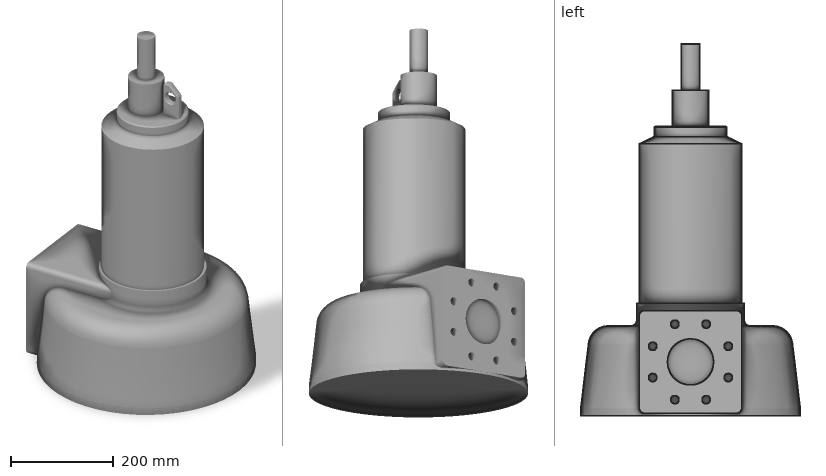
import cadquery as cq
import math

BELL_RADIUS = 214.0
RIM_HEIGHT = 15.0
BELL_HEIGHT = 175.5
BELL_TOP_RADIUS = 195.0
BELL_FILLET = 40.0

MOTOR_X = 14.5
MOTOR_RADIUS = 100.0
COLLAR_RADIUS = 105.0
COLLAR_TOP = 220.0
COLLAR_FILLET = 10.0

BOX_SIZE = 2 * MOTOR_RADIUS
BOX_BOTTOM = 5.0
BOX_FACE_X = -BELL_RADIUS
BOX_FILLET = 10.0
PORT_Z = BOX_BOTTOM + BOX_SIZE / 2
PORT_RADIUS = 45.0
PORT_DEPTH = 10.0
BOLT_COUNT = 8
BOLT_CIRCLE_RADIUS = 80.0
BOLT_HOLE_RADIUS = 8.0
BOLT_HOLE_DEPTH = 20.0

BARREL_TOP = 530.0
SHOULDER_TOP = 544.5
NECK_TOP = 565.0
NECK_RADIUS = 70.0
NECK_CHAMFER = 2.0
CABLE_X = -1.0
GLAND_RADIUS = 35.5
GLAND_TOP = 635.0
CABLE_RADIUS = 18.0
CABLE_TOP = 725.0

LUG_LEFT = 42.0
LUG_RIGHT = 77.5
LUG_THICKNESS = 14.5
LUG_SLOPE = 22.0
LUG_TOP_FILLET = 7.0
LUG_SLOPE_FILLET = 10.0
LUG_EDGE_CHAMFER = 2.0
LUG_HOLE_X = 59.0
LUG_HOLE_Z = 605.5
LUG_HOLE_RADIUS = 11.5


def cylinder(x, radius, bottom, top):
    return cq.Workplane("XY", origin=(x, 0, bottom)).circle(radius).extrude(top - bottom)


def bell():
    profile = (
        cq.Workplane("XZ")
        .lineTo(BELL_RADIUS, 0)
        .lineTo(BELL_RADIUS, RIM_HEIGHT)
        .lineTo(BELL_TOP_RADIUS, BELL_HEIGHT)
        .lineTo(0, BELL_HEIGHT)
        .close()
    )
    return profile.revolve(360, (0, 0, 0), (0, 1, 0)).faces(">Z").edges().fillet(BELL_FILLET)


def collar():
    """Ring under the motor, with a concave fillet where it meets the bell."""
    foot_radius = COLLAR_RADIUS + COLLAR_FILLET
    fillet_top = BELL_HEIGHT + COLLAR_FILLET
    profile = (
        cq.Workplane("XZ", origin=(MOTOR_X, 0, 0))
        .moveTo(0, RIM_HEIGHT)
        .lineTo(foot_radius, RIM_HEIGHT)
        .lineTo(foot_radius, BELL_HEIGHT)
        .radiusArc((COLLAR_RADIUS, fillet_top), COLLAR_FILLET)
        .lineTo(COLLAR_RADIUS, COLLAR_TOP)
        .lineTo(0, COLLAR_TOP)
        .close()
    )
    return profile.revolve(360, (0, 0, 0), (0, 1, 0))


def discharge_box():
    """Square outlet that runs from its flat face to the motor axis."""
    return (
        cq.Workplane("YZ", origin=(BOX_FACE_X, 0, PORT_Z))
        .rect(BOX_SIZE, BOX_SIZE)
        .extrude(MOTOR_X - BOX_FACE_X)
        .edges("|X")
        .fillet(BOX_FILLET)
    )


def outlet_holes():
    """Shallow port and its ring of bolt holes, which straddle the centre lines."""
    face = cq.Workplane("YZ", origin=(BOX_FACE_X, 0, PORT_Z))
    port = face.circle(PORT_RADIUS).extrude(PORT_DEPTH)
    bolt_holes = (
        face.polarArray(BOLT_CIRCLE_RADIUS, 180 / BOLT_COUNT, 360, BOLT_COUNT)
        .circle(BOLT_HOLE_RADIUS)
        .extrude(BOLT_HOLE_DEPTH)
    )
    return port.union(bolt_holes)


def make_casing():
    return bell().union(collar()).union(discharge_box()).cut(outlet_holes())


def motor_barrel():
    profile = (
        cq.Workplane("XZ", origin=(MOTOR_X, 0, 0))
        .moveTo(0, COLLAR_TOP)
        .lineTo(MOTOR_RADIUS, COLLAR_TOP)
        .lineTo(MOTOR_RADIUS, BARREL_TOP)
        .lineTo(NECK_RADIUS, SHOULDER_TOP)
        .lineTo(NECK_RADIUS, NECK_TOP)
        .lineTo(0, NECK_TOP)
        .close()
    )
    return profile.revolve(360, (0, 0, 0), (0, 1, 0)).faces(">Z").edges().chamfer(NECK_CHAMFER)


def lifting_lug():
    """Upright plate with a sloped corner and an eye, chamfered along both faces."""
    arc_setback = LUG_SLOPE_FILLET * math.tan(math.radians(45 / 2))
    diagonal_setback = arc_setback * math.sqrt(0.5)
    slope_bottom = GLAND_TOP - LUG_SLOPE
    plate = (
        cq.Workplane("XZ", origin=(0, LUG_THICKNESS / 2, 0))
        .moveTo(LUG_LEFT, NECK_TOP)
        .lineTo(LUG_RIGHT, NECK_TOP)
        .lineTo(LUG_RIGHT, slope_bottom - arc_setback)
        .radiusArc((LUG_RIGHT - diagonal_setback, slope_bottom + diagonal_setback), -LUG_SLOPE_FILLET)
        .lineTo(LUG_RIGHT - LUG_SLOPE, GLAND_TOP)
        .lineTo(LUG_LEFT + LUG_TOP_FILLET, GLAND_TOP)
        .radiusArc((LUG_LEFT, GLAND_TOP - LUG_TOP_FILLET), -LUG_TOP_FILLET)
        .close()
        .extrude(LUG_THICKNESS)
    )
    eye = (
        cq.Workplane("XZ", origin=(LUG_HOLE_X, LUG_THICKNESS / 2, LUG_HOLE_Z))
        .circle(LUG_HOLE_RADIUS)
        .extrude(LUG_THICKNESS)
    )
    return plate.cut(eye).faces("<Y or >Y").edges("not <Z").chamfer(LUG_EDGE_CHAMFER)


def make_motor():
    gland = cylinder(CABLE_X, GLAND_RADIUS, NECK_TOP, GLAND_TOP)
    cable = cylinder(CABLE_X, CABLE_RADIUS, GLAND_TOP, CABLE_TOP)
    return motor_barrel().union(gland).union(cable).union(lifting_lug())


casing = make_casing()
motor = make_motor()

result = cq.Compound.makeCompound([casing.val(), motor.val()])